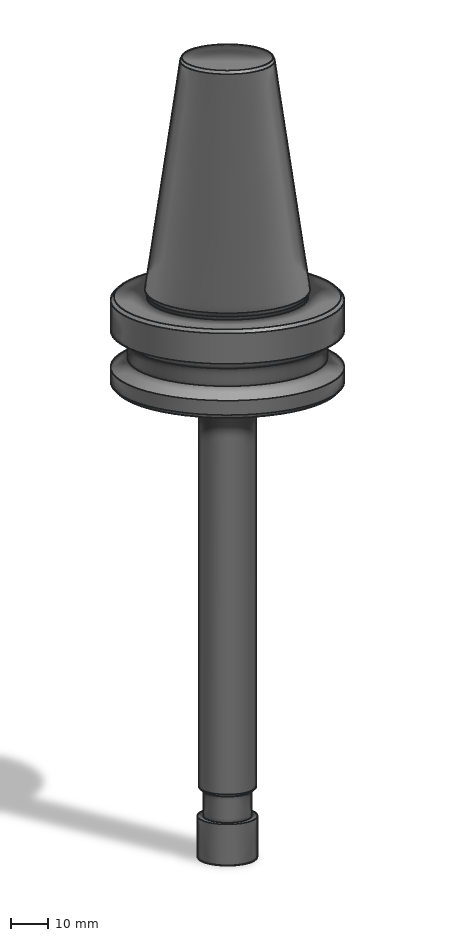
import cadquery as cq

total_height = 225.5
taper_base_z = 160.0
taper_base_radius = 22.3
taper_ratio = 7 / 24
taper_tip_radius = taper_base_radius - (total_height - taper_base_z) * taper_ratio / 2
tip_chamfer_width = 0.5
tip_chamfer_height = 1.0

neck_radius = 21.9
neck_chamfer_height = 1.1

flange_radius = 31.5
flange_top_z = 158.0
flange_bottom_z = 133.0
flange_top_chamfer = 1.0
flange_bottom_chamfer = 1.1
groove_diameter = 54.0
groove_radius = groove_diameter / 2
groove_upper_rim_z = 148.5
groove_upper_floor_z = 145.8
groove_lower_floor_z = 140.9
groove_lower_rim_z = 138.2

shank_diameter = 15.5
shank_radius = shank_diameter / 2
shank_root_fillet = 2.0
shank_end_z = 19.2
shank_end_chamfer = 1.0
head_neck_diameter = 13.0
head_neck_radius = head_neck_diameter / 2
head_top_z = 11.7
head_radius = 8.1
head_bottom_chamfer = 0.2


def make_taper():
    profile = (
        cq.Workplane("XZ")
        .moveTo(0, flange_top_z)
        .lineTo(neck_radius, flange_top_z)
        .lineTo(neck_radius, taper_base_z - neck_chamfer_height)
        .lineTo(taper_base_radius, taper_base_z)
        .lineTo(taper_tip_radius, total_height - tip_chamfer_height)
        .lineTo(taper_tip_radius - tip_chamfer_width, total_height)
        .lineTo(0, total_height)
        .close()
    )
    return profile.revolve()


def make_flange():
    profile = (
        cq.Workplane("XZ")
        .moveTo(0, flange_bottom_z)
        .lineTo(flange_radius - flange_bottom_chamfer, flange_bottom_z)
        .lineTo(flange_radius, flange_bottom_z + flange_bottom_chamfer)
        .lineTo(flange_radius, groove_lower_rim_z)
        .lineTo(groove_radius, groove_lower_floor_z)
        .lineTo(groove_radius, groove_upper_floor_z)
        .lineTo(flange_radius, groove_upper_rim_z)
        .lineTo(flange_radius, flange_top_z - flange_top_chamfer)
        .lineTo(flange_radius - flange_top_chamfer, flange_top_z)
        .lineTo(0, flange_top_z)
        .close()
    )
    return profile.revolve()


def make_shank():
    profile = (
        cq.Workplane("XZ")
        .lineTo(head_radius - head_bottom_chamfer, 0)
        .lineTo(head_radius, head_bottom_chamfer)
        .lineTo(head_radius, head_top_z)
        .lineTo(head_neck_radius, head_top_z)
        .lineTo(head_neck_radius, shank_end_z)
        .lineTo(shank_radius - shank_end_chamfer, shank_end_z)
        .lineTo(shank_radius, shank_end_z + shank_end_chamfer)
        .lineTo(shank_radius, flange_bottom_z - shank_root_fillet)
        .radiusArc((shank_radius + shank_root_fillet, flange_bottom_z), shank_root_fillet)
        .lineTo(0, flange_bottom_z)
        .close()
    )
    return profile.revolve()


result = make_shank().union(make_flange()).union(make_taper())